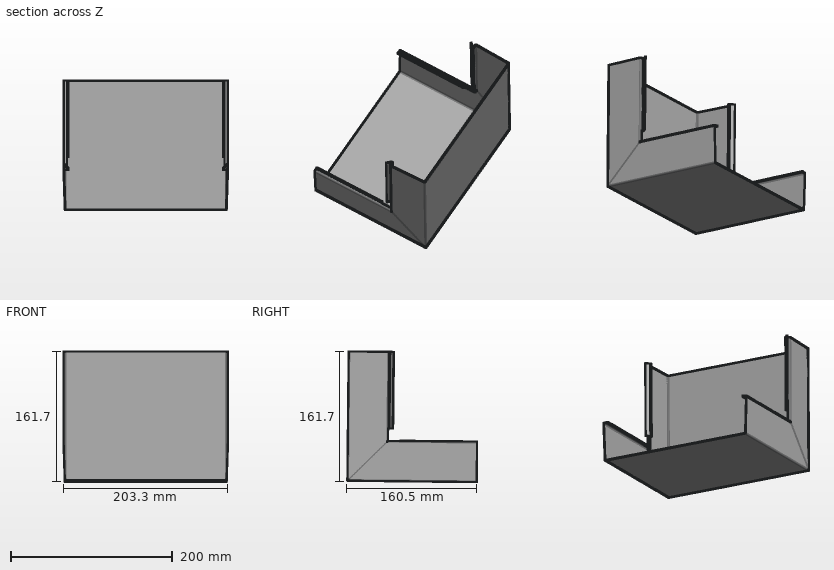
import cadquery as cq
import math

leg_length = 160.0
leg_depth = 50.0
plate_half_width = 100.0
rim_half_width = 101.71
wall = 1.0
bend_radius = 1.6
corner_radius = 1.5
tilt_angle = 0.6

rim_width = 4.4
snap_reach = 6.1
snap_start = 65.0
rim_edge = rim_half_width - rim_width
snap_nose = rim_half_width - snap_reach

hook_height = 6.1
hook_nose_height = 1.5
hook_thickness = 1.0

bead_rise = 0.4


def flared_prism(offset, radius):
    """Closed trapezoid prism along Z, moved inwards by the offset, with rounded long edges."""
    slope = (rim_half_width - plate_half_width) / leg_depth
    side_offset = offset * math.hypot(1, slope)
    front = offset
    back = leg_depth - offset
    front_half = plate_half_width + slope * front - side_offset
    back_half = plate_half_width + slope * back - side_offset
    outline = [(-front_half, front), (front_half, front), (back_half, back), (-back_half, back)]
    return cq.Workplane("XY").polyline(outline).close().extrude(leg_length).edges("|Z").fillet(radius)


def channel():
    """Upright channel: plate, two flared walls and two inward rims."""
    mouth = cq.Workplane("XY").center(0, leg_depth).rect(2 * rim_edge, leg_depth).extrude(leg_length)
    shell = flared_prism(0, bend_radius).cut(flared_prism(wall, bend_radius - wall))
    return shell.cut(mouth)


def snap_pair(outline):
    """Extrude a rim profile from the snap start to the leg end, on both rims."""
    snap_length = leg_length - snap_start
    snap = cq.Workplane("XY").workplane(offset=snap_start).polyline(outline).close().extrude(snap_length)
    return snap.union(snap.mirror("YZ"))


def hooks():
    """Rim extensions folded back outwards at 45 degrees."""
    rim_face = leg_depth
    rim_back = leg_depth - wall
    rise = hook_height - hook_nose_height
    tip_step = hook_thickness / math.sqrt(2)
    tip = (snap_nose + rise, rim_face + hook_height)
    tip_back = (tip[0] + tip_step, tip[1] - tip_step)
    root = snap_nose + hook_thickness
    root_height = tip_back[1] - (tip_back[0] - root)
    return snap_pair([
        (rim_edge + wall, rim_back),
        (snap_nose, rim_back),
        (snap_nose, rim_face + hook_nose_height),
        tip,
        tip_back,
        (root, root_height),
        (root, rim_face),
        (rim_edge + wall, rim_face),
    ])


def beads():
    """Slightly raised rim extensions with a sloped step."""
    rim_back = leg_depth - wall
    bead_top = leg_depth + bead_rise
    return snap_pair([
        (rim_edge + wall, rim_back),
        (snap_nose, rim_back),
        (snap_nose, bead_top),
        (rim_edge - bead_rise, bead_top),
        (rim_edge, leg_depth),
        (rim_edge + wall, leg_depth),
    ])


def mitred(leg):
    """Keep the part of an upright leg above the 45 degree mitre plane."""
    keep = (
        cq.Workplane("YZ")
        .polyline([(0, 0), (leg_length, leg_length), (0, leg_length)])
        .close()
        .extrude(rim_half_width, both=True)
    )
    return leg.intersect(keep)


def laid_down(leg):
    """Swap Y and Z, turning an upright leg into a lying one."""
    return leg.mirror((0, 1, -1), (0, 0, 0))


def corner_rounding():
    """Material outside the rounded edge between the two plates."""
    block = cq.Workplane("YZ").rect(corner_radius, corner_radius, centered=False)
    block = block.extrude(rim_half_width, both=True)
    rod = cq.Workplane("YZ").center(corner_radius, corner_radius).circle(corner_radius)
    return block.cut(rod.extrude(rim_half_width, both=True))


upright_leg = mitred(channel()).union(hooks())
lying_leg = laid_down(mitred(channel()).union(beads()))
cover = upright_leg.union(lying_leg).cut(corner_rounding())
result = cover.rotate((0, 0, 0), (1, 0, 0), -tilt_angle)